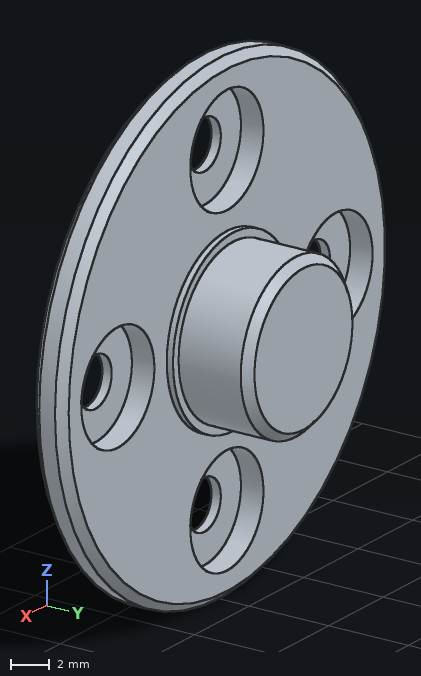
import cadquery as cq

disc_diameter = 30.0
disc_thickness = 2.0
edge_chamfer = 0.5

total_depth = 6.8
boss_diameter = 10.0
collar_diameter = 11.0
collar_height = 0.4

hole_diameter = 3.0
hole_circle_radius = 10.0
hole_count = 4

counterbore_diameter = 6.7
web_thickness = 0.6


def cylinder_along_y(diameter, length, start=0.0):
    """Solid cylinder on the part axis, running from Y = start toward +Y."""
    return cq.Workplane("XZ", origin=(0, start, 0)).circle(diameter / 2).extrude(-length)


disc = cylinder_along_y(disc_diameter, disc_thickness).edges().chamfer(edge_chamfer)

collar = cylinder_along_y(collar_diameter, collar_height, disc_thickness)

boss_height = total_depth - disc_thickness
boss = cylinder_along_y(boss_diameter, boss_height, disc_thickness)
boss = boss.faces(">Y").edges().chamfer(edge_chamfer)


def hole_pattern(diameter, start):
    """Ring of round cutters running from Y = start to the back of the disc."""
    return (
        cq.Workplane("XZ", origin=(0, start, 0))
        .polarArray(hole_circle_radius, 0, 360, hole_count)
        .circle(diameter / 2)
        .extrude(start - disc_thickness)
    )


holes = hole_pattern(hole_diameter, 0)
counterbores = hole_pattern(counterbore_diameter, web_thickness)

result = disc.union(collar).union(boss).cut(holes).cut(counterbores)